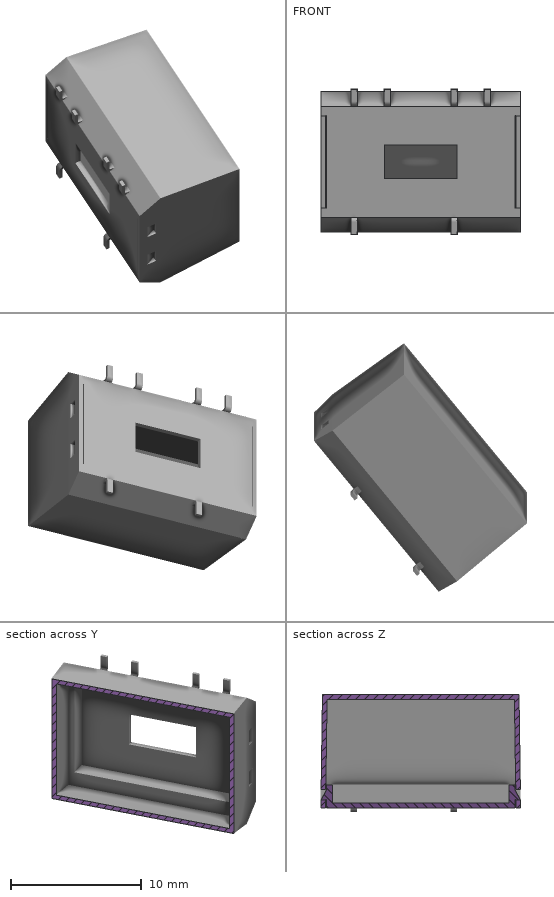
import cadquery as cq


LENGTH = 15.25
PARTING_HEIGHT = 10.75
COVER_DEPTH = 6.91
COVER_BACK_LENGTH = 15.05
COVER_BACK_HEIGHT = 9.27
BASE_DEPTH = 1.8
BASE_FRONT_HEIGHT = 8.46

COVER_WALL = 0.4
BASE_PLATE = 0.43
BASE_CAVITY_LENGTH = 13.42
BASE_CAVITY_HEIGHT = 7.62

OPENING_LENGTH = 5.57
OPENING_HEIGHT = 2.56

TAB_HEIGHT = 7.02
TAB_THICKNESS = 0.35
TAB_GAP = 0.06
RECESS_DEPTH = TAB_THICKNESS + TAB_GAP

WINDOW_WIDTH = 0.75
WINDOW_HEIGHT = 1.25
WINDOW_BACK_Y = -0.38
WINDOW_FRONT_Y = WINDOW_BACK_Y - WINDOW_WIDTH
WINDOW_SPACING = 3.52
WEDGE_GAP = 0.05

PIN_PITCH = 2.55
PIN_WIDTH = 0.5
PIN_THICKNESS = 0.26
PIN_INNER_RADIUS = 0.1
PIN_OUTER_RADIUS = PIN_INNER_RADIUS + PIN_THICKNESS
PIN_SPAN = 11.1
PIN_FRONT_Y = -2.09
PIN_INNER_Z = BASE_FRONT_HEIGHT / 2
PIN_PLACES = [(-2, 1), (-1, 1), (1, 1), (2, 1), (-2, -1), (1, -1)]


def block(x_range, y_range, z_range):
    """Box between two limits along each axis."""
    (x0, x1), (y0, y1), (z0, z1) = [sorted(limits) for limits in (x_range, y_range, z_range)]
    return cq.Workplane("XY").box(x1 - x0, y1 - y0, z1 - z0, centered=False).translate((x0, y0, z0))


def centred_block(length, y_range, height):
    """Box centred on the Y axis."""
    return block((-length / 2, length / 2), y_range, (-height / 2, height / 2))


def tapered_block(start_size, end_size, depth):
    """Frustum from an X-Z rectangle at Y = 0 to another at Y = depth."""
    return (
        cq.Workplane("XZ")
        .rect(*start_size)
        .workplane(offset=-depth)
        .rect(*end_size)
        .loft(ruled=True)
    )


def prism_along_x(outline, x_start, x_end):
    """Extrude a Y-Z outline between two X positions."""
    return cq.Workplane("YZ", origin=(x_start, 0, 0)).polyline(outline).close().extrude(x_end - x_start)


def make_cover():
    """Hollow tapered cup with a windowed snap tab on each end."""
    cover = tapered_block((LENGTH, PARTING_HEIGHT), (COVER_BACK_LENGTH, COVER_BACK_HEIGHT), COVER_DEPTH)

    cavity_depth = COVER_DEPTH - COVER_WALL
    taper_share = cavity_depth / COVER_DEPTH
    cavity_start = (LENGTH - 2 * COVER_WALL, PARTING_HEIGHT - 2 * COVER_WALL)
    cavity_end = (
        cavity_start[0] - (LENGTH - COVER_BACK_LENGTH) * taper_share,
        cavity_start[1] - (PARTING_HEIGHT - COVER_BACK_HEIGHT) * taper_share,
    )
    cover = cover.cut(tapered_block(cavity_start, cavity_end, cavity_depth))

    for side in (-1, 1):
        tab_x = (side * LENGTH / 2, side * (LENGTH / 2 - TAB_THICKNESS))
        cover = cover.union(block(tab_x, (-BASE_DEPTH, 0), (-TAB_HEIGHT / 2, TAB_HEIGHT / 2)))
        for z in (-WINDOW_SPACING / 2, WINDOW_SPACING / 2):
            window_z = (z - WINDOW_HEIGHT / 2, z + WINDOW_HEIGHT / 2)
            cover = cover.cut(block(tab_x, (WINDOW_FRONT_Y, WINDOW_BACK_Y), window_z))
    return cover


def make_wedge(side, z_sign):
    """Snap wedge rising from the recess floor at its back to the outer face at its front."""
    outer_z = z_sign * (WINDOW_SPACING + WINDOW_HEIGHT) / 2
    inner_z = z_sign * ((WINDOW_SPACING - WINDOW_HEIGHT) / 2 + WEDGE_GAP)
    floor_x = side * (LENGTH / 2 - RECESS_DEPTH)
    outline = [
        (floor_x, WINDOW_BACK_Y),
        (floor_x, WINDOW_FRONT_Y),
        (side * LENGTH / 2, WINDOW_FRONT_Y),
    ]
    low_z = min(inner_z, outer_z)
    return (
        cq.Workplane("XY", origin=(0, 0, low_z))
        .polyline(outline)
        .close()
        .extrude(abs(outer_z - inner_z))
    )


def make_base():
    """Chamfered, hollow base plate with tab recesses, snap wedges and a front opening."""
    outline = [
        (0, -PARTING_HEIGHT / 2),
        (-BASE_DEPTH, -BASE_FRONT_HEIGHT / 2),
        (-BASE_DEPTH, BASE_FRONT_HEIGHT / 2),
        (0, PARTING_HEIGHT / 2),
    ]
    base = prism_along_x(outline, -LENGTH / 2, LENGTH / 2)
    base = base.cut(centred_block(BASE_CAVITY_LENGTH, (BASE_PLATE - BASE_DEPTH, 0), BASE_CAVITY_HEIGHT))
    base = base.cut(centred_block(OPENING_LENGTH, (-BASE_DEPTH, 0), OPENING_HEIGHT))

    for side in (-1, 1):
        recess_x = (side * LENGTH / 2, side * (LENGTH / 2 - RECESS_DEPTH))
        base = base.cut(block(recess_x, (-BASE_DEPTH, 0), (-TAB_HEIGHT / 2, TAB_HEIGHT / 2)))
        for z_sign in (-1, 1):
            base = base.union(make_wedge(side, z_sign))
    return base


def make_pin(x, z_sign):
    """L-shaped pin: a leg along Y held in the base, then a foot along Z joined by a round bend."""
    pin_x = (x - PIN_WIDTH / 2, x + PIN_WIDTH / 2)
    foot_back_y = PIN_FRONT_Y + PIN_THICKNESS
    leg_outer_z = PIN_INNER_Z + PIN_THICKNESS
    leg = block(pin_x, (PIN_FRONT_Y, 0), (PIN_INNER_Z, leg_outer_z))
    foot = block(pin_x, (PIN_FRONT_Y, foot_back_y), (PIN_INNER_Z, PIN_SPAN / 2))
    pin = leg.union(foot)
    pin = pin.edges("|X and <Y and <Z").fillet(PIN_OUTER_RADIUS)
    inner_corner = cq.NearestToPointSelector((x, foot_back_y, leg_outer_z))
    pin = pin.edges("|X").edges(inner_corner).fillet(PIN_INNER_RADIUS)
    if z_sign < 0:
        pin = pin.mirror("XY")
    return pin


cover = make_cover()
base = make_base()
pins = [make_pin(pitches * PIN_PITCH, z_sign) for pitches, z_sign in PIN_PLACES]
for pin in pins:
    base = base.cut(pin)

result = cq.Compound.makeCompound([cover.val(), base.val(), *[pin.val() for pin in pins]])